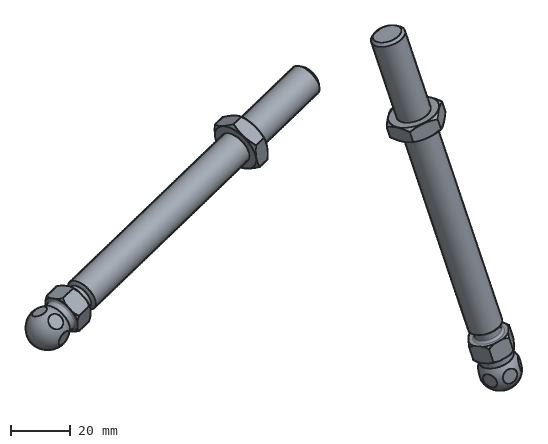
import cadquery as cq
import math

TOTAL_LENGTH = 147.0
TIP_Y = -TOTAL_LENGTH / 2
ROD_END_Y = TOTAL_LENGTH / 2

ROD_RADIUS = 12.0 / 2
ROD_START_Y = TIP_Y + 25.9
ROD_END_CHAMFER = 1.0
ROD_START_TAPER = 0.9

HEX_FLATS = 14.0
HEX_START_Y = TIP_Y + 14.8
HEX_LENGTH = 7.0
HEX_END_Y = HEX_START_Y + HEX_LENGTH
HEX_FACE_DIAMETER = 14.4
HEX_BEVEL_ANGLE = 45.0
UNDERCUT_RADIUS = 9.4 / 2
UNDERCUT_FILLET = 0.9
NECK_FILLET = 0.5

BALL_RADIUS = 15.0 / 2
BALL_Y = TIP_Y + BALL_RADIUS

NUT_FLATS = 18.1
NUT_HEIGHT = 6.0
NUT_START_Y = TIP_Y + 108.3
NUT_FACE_DIAMETER = 17.8
NUT_BEVEL_ANGLE = 30.0
NUT_TURN = 8.5

HALF_SIDE_ANGLE = 360 / 6 / 2


def corner_radius(flats):
    """Distance from the axis to a corner of a hexagon."""
    return flats / 2 / math.cos(math.radians(HALF_SIDE_ANGLE))


def hexagon_prism(flats, start_y, length):
    """Hexagonal prism along Y with two corners on the Z direction."""
    prism = cq.Workplane("XY").polygon(6, 2 * corner_radius(flats)).extrude(length)
    prism = prism.rotate((0, 0, 0), (0, 0, 1), HALF_SIDE_ANGLE)
    return prism.rotate((0, 0, 0), (1, 0, 0), -90).translate((0, start_y, 0))


def revolve_about_y(profile):
    """Full turn of a closed half profile in the XY plane about the Y axis."""
    return profile.close().revolve(360, (0, 0, 0), (0, 1, 0))


def chamfered_hexagon(flats, start_y, length, face_diameter, bevel_angle):
    """Hexagonal prism with its corners turned off conically at both ends.

    The cones start from a circle of face_diameter on the end faces and slope
    at bevel_angle (degrees) to those faces.
    """
    face_radius = face_diameter / 2
    outer_radius = corner_radius(flats)
    end_y = start_y + length
    bevel = (outer_radius - face_radius) * math.tan(math.radians(bevel_angle))
    envelope = revolve_about_y(
        cq.Workplane("XY")
        .moveTo(0, start_y)
        .lineTo(face_radius, start_y)
        .lineTo(outer_radius, start_y + bevel)
        .lineTo(outer_radius, end_y - bevel)
        .lineTo(face_radius, end_y)
        .lineTo(0, end_y)
    )
    return hexagon_prism(flats, start_y, length).intersect(envelope)


def make_shank():
    """Turned shaft from the ball centre through the undercut to the rod end."""
    fillet_middle = 1 - math.sqrt(0.5)
    neck_middle = NECK_FILLET * fillet_middle
    undercut_middle = UNDERCUT_FILLET * fillet_middle
    return revolve_about_y(
        cq.Workplane("XY")
        .moveTo(0, BALL_Y)
        .lineTo(ROD_RADIUS, BALL_Y)
        .lineTo(ROD_RADIUS, HEX_START_Y - NECK_FILLET)
        .threePointArc(
            (ROD_RADIUS + neck_middle, HEX_START_Y - neck_middle),
            (ROD_RADIUS + NECK_FILLET, HEX_START_Y),
        )
        .lineTo(UNDERCUT_RADIUS + UNDERCUT_FILLET, HEX_END_Y)
        .threePointArc(
            (UNDERCUT_RADIUS + undercut_middle, HEX_END_Y + undercut_middle),
            (UNDERCUT_RADIUS, HEX_END_Y + UNDERCUT_FILLET),
        )
        .lineTo(UNDERCUT_RADIUS, ROD_START_Y - ROD_START_TAPER)
        .lineTo(ROD_RADIUS, ROD_START_Y)
        .lineTo(ROD_RADIUS, ROD_END_Y - ROD_END_CHAMFER)
        .lineTo(ROD_RADIUS - ROD_END_CHAMFER, ROD_END_Y)
        .lineTo(0, ROD_END_Y)
    )


def make_ball():
    """Ball tip cut by six flats in line with the wrench hexagon."""
    ball = cq.Workplane("XZ", origin=(0, BALL_Y, 0)).sphere(BALL_RADIUS)
    return ball.intersect(hexagon_prism(HEX_FLATS, TIP_Y, 2 * BALL_RADIUS))


def make_stud():
    """Rod, wrench hexagon and ball tip as one solid."""
    wrench_hexagon = chamfered_hexagon(
        HEX_FLATS, HEX_START_Y, HEX_LENGTH, HEX_FACE_DIAMETER, HEX_BEVEL_ANGLE
    )
    return make_shank().union(wrench_hexagon).union(make_ball())


def make_lock_nut():
    """Hexagonal nut turned slightly about the rod, bored to the rod diameter."""
    nut = chamfered_hexagon(
        NUT_FLATS, NUT_START_Y, NUT_HEIGHT, NUT_FACE_DIAMETER, NUT_BEVEL_ANGLE
    )
    bore = (
        cq.Workplane("XZ", origin=(0, NUT_START_Y, 0))
        .circle(ROD_RADIUS)
        .extrude(-NUT_HEIGHT)
    )
    return nut.cut(bore).rotate((0, 0, 0), (0, 1, 0), -NUT_TURN)


stud = make_stud()
lock_nut = make_lock_nut()

result = cq.Compound.makeCompound([stud.val(), lock_nut.val()])